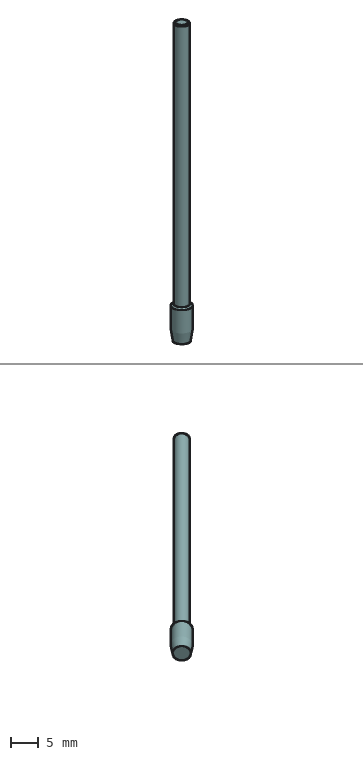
import cadquery as cq

total_length = 63.0
rod_diameter = 2.9
rod_chamfer = 0.25
tip_diameter = 4.0
tip_length = 7.25
tip_end_diameter = 3.3
taper_length = 2.25
shoulder_height = 0.3

rod_radius = rod_diameter / 2
tip_radius = tip_diameter / 2
tip_end_radius = tip_end_diameter / 2


def make_tip():
    """Solid tip: tapered lower end, straight barrel and a conical shoulder up to the rod."""
    return (
        cq.Workplane("XZ")
        .lineTo(tip_end_radius, 0)
        .lineTo(tip_radius, taper_length)
        .lineTo(tip_radius, tip_length - shoulder_height)
        .lineTo(rod_radius, tip_length)
        .lineTo(0, tip_length)
        .close()
        .revolve(360, (0, 0), (0, 1))
    )


def make_rod():
    """Round rod standing on the tip, with a chamfered upper end."""
    return (
        cq.Workplane("XY", origin=(0, 0, tip_length))
        .circle(rod_radius)
        .extrude(total_length - tip_length)
        .faces(">Z")
        .chamfer(rod_chamfer)
    )


tip = make_tip()
rod = make_rod()
result = cq.Compound.makeCompound([tip.val(), rod.val()])